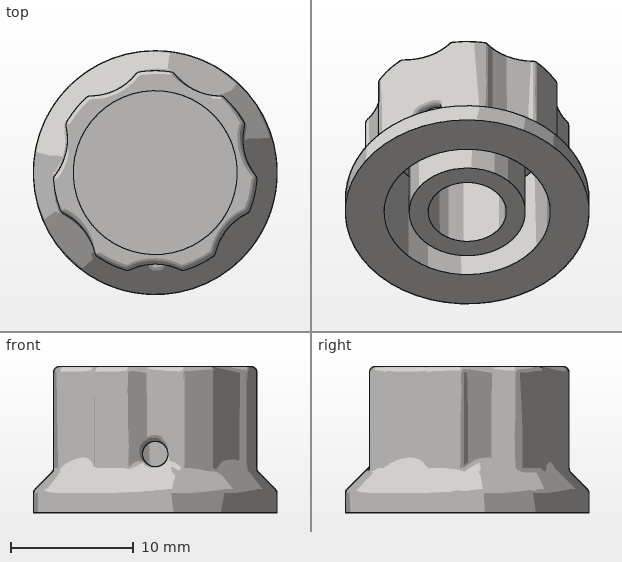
import cadquery as cq
import math

total_height = 11.9
base_radius = 9.92
base_edge_height = 1.79
cone_top = 5.95
edge_round = 0.5

grip_radius = 8.3
flute_count = 7
flute_radius = 4.72
flute_root_radius = 7.44

recess_diameter = 13.33
recess_depth = 0.4

cavity_diameter = 13.51
boss_diameter = 9.45
bore_diameter = 6.35
roof_thickness = 1.59
cavity_depth = total_height - recess_depth - roof_thickness

screw_diameter = 2.06
screw_height = 4.78


def cylinder(diameter, bottom, height):
    """Upright cylinder on the knob axis."""
    return cq.Workplane("XY", origin=(0, 0, bottom)).circle(diameter / 2).extrude(height)


def make_base():
    """Disc whose rounded rim leads into a 45 degree cone running up inside the grip."""
    cone_height = cone_top - base_edge_height
    profile = (
        cq.Workplane("YZ")
        .lineTo(base_radius, 0)
        .lineTo(base_radius, base_edge_height)
        .lineTo(base_radius - cone_height, cone_top)
        .lineTo(0, cone_top)
        .close()
    )
    base = profile.revolve(360, (0, 0, 0), (0, 1, 0))
    return base.faces("%CYLINDER").edges(">Z").fillet(edge_round)


def make_grip():
    """Cylinder with evenly spaced flutes, one of them facing -Y."""
    flutes = (
        cq.Workplane("XY")
        .polarArray(flute_root_radius + flute_radius, -90, 360, flute_count)
        .circle(flute_radius)
        .extrude(total_height)
    )
    return cylinder(2 * grip_radius, 0, total_height).cut(flutes)


def cut_screw_hole(body):
    """Cross hole from the axis out through the -Y side."""
    hole = (
        cq.Workplane("XZ", origin=(0, 0, screw_height))
        .circle(screw_diameter / 2)
        .extrude(base_radius)
    )
    return body.cut(hole)


def round_grip(body):
    """Round the grip's corners and top, the neck where it meets the cone, and the hole mouth."""
    inner_limit = flute_root_radius - edge_round
    lower_limit = base_edge_height + edge_round

    def is_rounded(edge):
        start = edge.startPoint()
        on_outer_wall = math.hypot(start.x, start.y) > inner_limit
        above_rim = edge.BoundingBox().zmin > lower_limit
        upright_or_curved = edge.geomType() != "LINE" or cq.Workplane(edge).edges("|Z").size() == 1
        return on_outer_wall and above_rim and upright_or_curved

    edges = [edge for edge in body.edges().vals() if is_rounded(edge)]
    return body.newObject(edges).fillet(edge_round)


def make_cavity():
    """Ring-shaped space around the shaft boss, together with the bore inside the boss."""
    boss = cylinder(boss_diameter, 0, cavity_depth)
    bore = cylinder(bore_diameter, 0, cavity_depth)
    return cylinder(cavity_diameter, 0, cavity_depth).cut(boss.cut(bore))


knob = make_base().union(make_grip())
knob = cut_screw_hole(knob)
knob = round_grip(knob)
top_recess = cylinder(recess_diameter, total_height - recess_depth, recess_depth)
result = knob.cut(top_recess).cut(make_cavity())